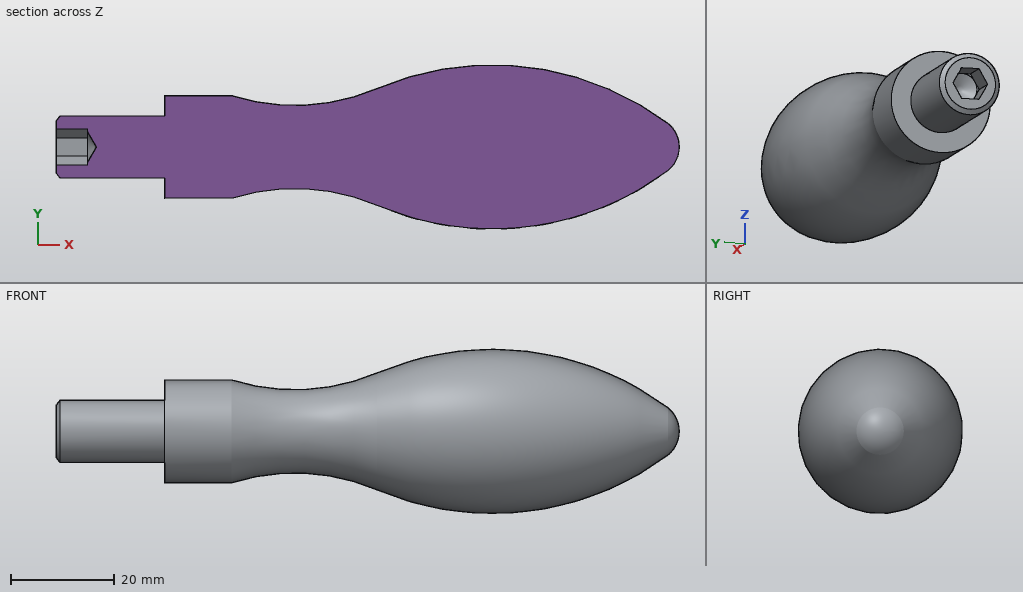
import cadquery as cq
import math

total_length = 121.0
collar_start = 21.0
collar_end = 34.1
waist_x = 46.3
belly_x = 84.7
tip_start = 118.8

stud_radius = 6.0
waist_radius = 8.1
belly_radius = 16.0

belly_arc_radius = 56.9

chamfer_length = 0.7
chamfer_depth = 1.0
socket_flats = 6.0
socket_depth = 6.0
drill_angle = 120.0

center_span = belly_x - waist_x
belly_center_r = belly_radius - belly_arc_radius
waist_offset = waist_radius - belly_center_r
neck_arc_radius = (belly_arc_radius**2 - center_span**2 - waist_offset**2) / (
    2 * (waist_offset - belly_arc_radius)
)
neck_share = neck_arc_radius / (neck_arc_radius + belly_arc_radius)
joint_x = waist_x + center_span * neck_share


def neck_r(x):
    """Radius of the concave neck at station x."""
    return waist_radius + neck_arc_radius - math.sqrt(neck_arc_radius**2 - (x - waist_x) ** 2)


def belly_r(x):
    """Radius of the convex belly at station x."""
    return belly_center_r + math.sqrt(belly_arc_radius**2 - (x - belly_x) ** 2)


def make_handle():
    """Stud, collar, grip and rounded tip as one turned body."""
    collar_radius = neck_r(collar_end)
    tip_r = belly_r(tip_start)
    tip_height = total_length - tip_start
    tip_sphere_radius = (tip_r**2 + tip_height**2) / (2 * tip_height)
    tip_half_angle = math.asin(tip_r / tip_sphere_radius) / 2
    tip_mid = (
        total_length - tip_sphere_radius * (1 - math.cos(tip_half_angle)),
        tip_sphere_radius * math.sin(tip_half_angle),
    )
    return (
        cq.Workplane("XY")
        .moveTo(0, 0)
        .lineTo(0, stud_radius - chamfer_depth)
        .lineTo(chamfer_length, stud_radius)
        .lineTo(collar_start, stud_radius)
        .lineTo(collar_start, collar_radius)
        .lineTo(collar_end, collar_radius)
        .threePointArc((waist_x, waist_radius), (joint_x, neck_r(joint_x)))
        .threePointArc((belly_x, belly_radius), (tip_start, tip_r))
        .threePointArc(tip_mid, (total_length, 0))
        .close()
        .revolve(360, (0, 0, 0), (1, 0, 0))
    )


def make_socket():
    """Hexagon socket with corners along Y and a conical bottom."""
    hexagon = (
        cq.Workplane("YZ")
        .polygon(6, socket_flats / math.cos(math.pi / 6))
        .extrude(socket_depth)
    )
    drill_radius = socket_flats / 2
    cone_height = drill_radius / math.tan(math.radians(drill_angle / 2))
    cone = cq.Solid.makeCone(
        drill_radius, 0, cone_height, cq.Vector(socket_depth, 0, 0), cq.Vector(1, 0, 0)
    )
    return hexagon.union(cq.Workplane(cone))


result = make_handle().cut(make_socket())